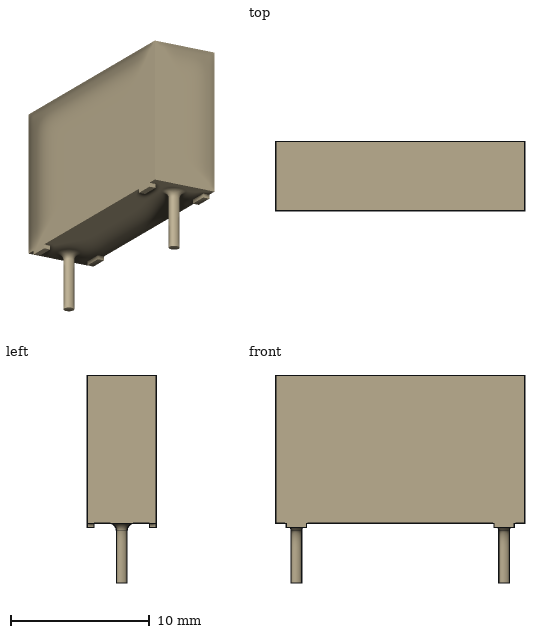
import cadquery as cq

body_length = 18.0
body_width = 5.0
overall_height = 15.0

foot_length = 1.5
foot_width = 0.5
foot_height = 0.3

pin_diameter = 0.8
pin_spacing = 15.0
pin_below_feet = 4.0
flare_radius = 0.5

pin_length = foot_height + pin_below_feet
body_height = overall_height - pin_length
pin_radius = pin_diameter / 2
pin_positions = (-pin_spacing / 2, pin_spacing / 2)


def make_body():
    return cq.Workplane("XY").box(body_length, body_width, body_height, centered=(True, True, False))


def make_feet():
    """Four feet: one at each long side, in line with each pin."""
    side_offset = (body_width - foot_width) / 2
    foot_centres = [(x, y) for x in pin_positions for y in (-side_offset, side_offset)]
    return cq.Workplane("XY").pushPoints(foot_centres).rect(foot_length, foot_width).extrude(-foot_height)


def make_pin(x):
    """Pin turned about its own axis, with a concave flare against the underside."""
    flare_middle = flare_radius * (1 - 0.5**0.5)
    profile = (
        cq.Workplane("XZ")
        .lineTo(pin_radius + flare_radius, 0)
        .threePointArc((pin_radius + flare_middle, -flare_middle), (pin_radius, -flare_radius))
        .lineTo(pin_radius, -pin_length)
        .lineTo(0, -pin_length)
        .close()
    )
    return profile.revolve(360, (0, 0, 0), (0, 1, 0)).translate((x, 0, 0))


result = make_body().union(make_feet())
for pin_x in pin_positions:
    result = result.union(make_pin(pin_x))